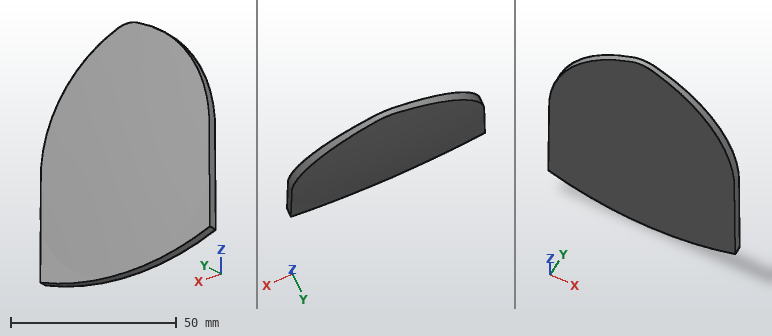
import cadquery as cq

height = 83.1
base_width = 64.0
shoulder_width = 63.3
shoulder_z = 43.55
left_corner_z = 6.65
right_corner_z = 5.5
bottom_low_x = 0.8

arch_mid_half_width = 23.1
arch_mid_z = 67.1
tip_half_width = 4.65
tip_start_z = 81.85

crown_thickness = 4.0
edge_thickness = 3.0
crown_z = 33.2
crown_radius = 565.1


def outline():
    """Closed shield outline on the XZ plane, whose normal points towards -Y."""
    half_base = base_width / 2
    half_shoulder = shoulder_width / 2
    return (
        cq.Workplane("XZ")
        .moveTo(-half_base, left_corner_z)
        .threePointArc((bottom_low_x, 0), (half_base, right_corner_z))
        .lineTo(half_shoulder, shoulder_z)
        .threePointArc((arch_mid_half_width, arch_mid_z), (tip_half_width, tip_start_z))
        .threePointArc((0, height), (-tip_half_width, tip_start_z))
        .threePointArc((-arch_mid_half_width, arch_mid_z), (-half_shoulder, shoulder_z))
        .close()
    )


def slab(thickness):
    """Flat shield of the given thickness, from Y = 0 towards +Y."""
    return outline().extrude(-thickness)


def crowned_shield():
    """Shield whose back is a shallow spherical crown, thinning towards the tip."""
    sphere_center = (0, crown_thickness - crown_radius, crown_z)
    crown = cq.Workplane("XY").sphere(crown_radius).translate(sphere_center)
    return slab(crown_thickness).intersect(crown)


def lower_plate():
    """Part below the shoulders, which keeps the full edge thickness out to the corners."""
    below_shoulders = cq.Workplane("XY").box(
        base_width, edge_thickness, shoulder_z, centered=(True, False, False)
    )
    return slab(edge_thickness).intersect(below_shoulders)


result = crowned_shield().union(lower_plate())